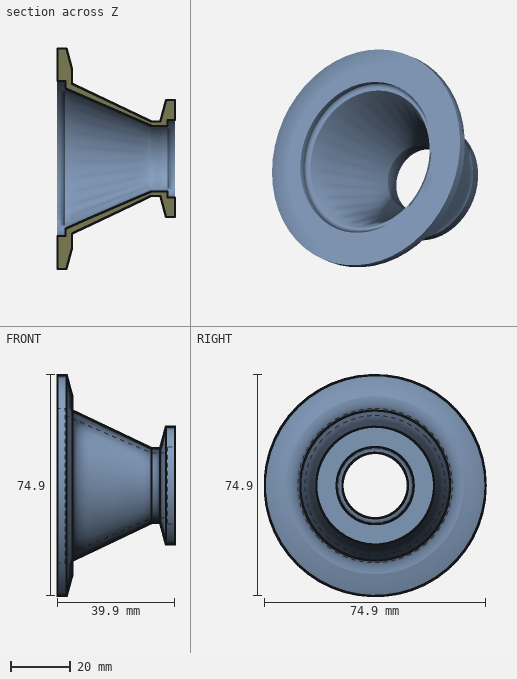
import cadquery as cq
import math

length = 39.9

rim_thickness = 3.15
clamp_angle = math.radians(15)
large_flange_diameter = 74.9
large_back_diameter = 60.2
small_flange_diameter = 39.9

wall = 1.65
large_tube_diameter = 50.8
small_tube_diameter = 25.4
small_bore_diameter = small_tube_diameter - 2 * wall
large_bore_diameter = large_tube_diameter - 2 * wall
cone_end = 31.8

large_recess_diameter = 52.32
small_recess_diameter = 26.16
recess_depth = 2.6


def taper_run(outer_diameter, inner_diameter):
    """Axial length of a clamping taper between two diameters."""
    return (outer_diameter - inner_diameter) / 2 * math.tan(clamp_angle)


large_flange_back = rim_thickness + taper_run(large_flange_diameter, large_back_diameter)
small_rim_start = length - rim_thickness
neck_end = small_rim_start - taper_run(small_flange_diameter, small_tube_diameter)


def revolve_about_x(points):
    """Solid of revolution from (x, diameter) points, closed along the X axis."""
    first_x = points[0][0]
    last_x = points[-1][0]
    outline = [(first_x, 0)]
    outline += [(x, diameter / 2) for x, diameter in points]
    outline += [(last_x, 0)]
    return cq.Workplane("XY").polyline(outline).close().revolve(360, (0, 0, 0), (1, 0, 0))


def outer_body():
    """Both flanges joined by the conical reducer and its short neck."""
    return revolve_about_x([
        (0, large_flange_diameter),
        (rim_thickness, large_flange_diameter),
        (large_flange_back, large_back_diameter),
        (large_flange_back, large_tube_diameter),
        (cone_end, small_tube_diameter),
        (neck_end, small_tube_diameter),
        (small_rim_start, small_flange_diameter),
        (length, small_flange_diameter),
    ])


def passage():
    """Conical through passage with a recess at each end."""
    return revolve_about_x([
        (0, large_recess_diameter),
        (recess_depth, large_recess_diameter),
        (recess_depth, large_bore_diameter),
        (cone_end, small_bore_diameter),
        (length - recess_depth, small_bore_diameter),
        (length - recess_depth, small_recess_diameter),
        (length, small_recess_diameter),
    ])


result = outer_body().cut(passage())